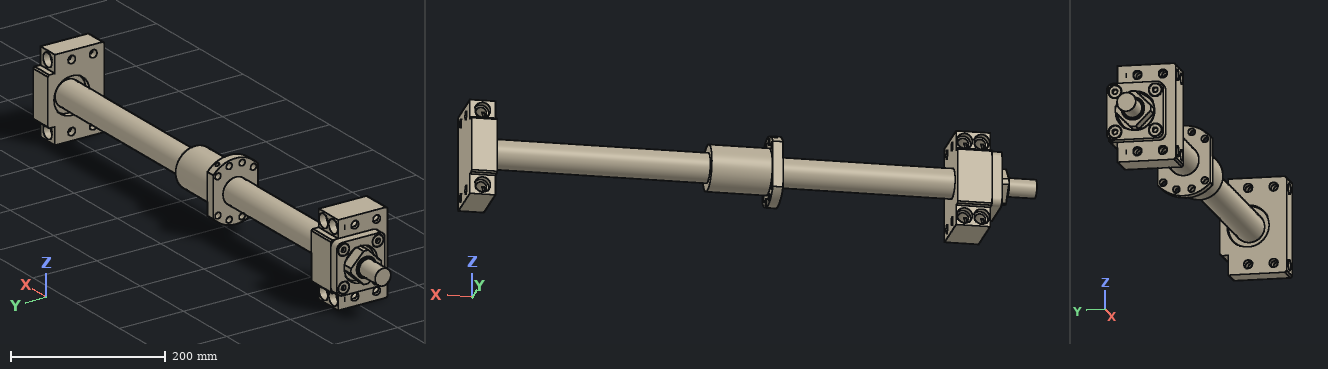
import cadquery as cq
import math

total_length = 753.0
journal_start = 37.0
locknut_start = 39.0
retainer_start = 51.0
fixed_housing_start = 65.0
fixed_housing_length = 45.0
floating_housing_length = 34.0
floating_housing_start = total_length - floating_housing_length
ball_nut_start = 340.0
ball_nut_length = 93.0

end_dia = 25.0
journal_dia = 30.0
journal_chamfer = 1.5
rod_dia = 40.0

flange_dia = 93.0
flange_thickness = 13.5
flange_across_flats = 70.0
barrel_dia = 62.0
flange_hole_dia = 9.0
flange_hole_circle_dia = 78.0
flange_hole_angles = [15, 45, 135, 165, 195, 225, 315, 345]
oil_hole_dia = 6.0
oil_hole_depth = 15.0
oil_hole_offset = 8.0
oil_hole_angle = 30

housing_height = 128.0
base_depth_below = 51.0
base_depth_above = 26.0
hump_size = 75.0
housing_chamfer = 2.0
hole_row_spacing = 102.0
mount_hole_dia = 14.0
mount_counterbore_dia = 20.0
mount_counterbore_depth = 11.0
mount_hole_edge_distance = 11.0
side_hole_dia = 11.0
side_hole_positions_y = [0.0, -34.0]
bearing_recess_dia = 56.0
bearing_recess_depth = 9.0

retainer_corner_radius = 9.0
retainer_bore_dia = 52.0
screw_spacing = 53.5
screw_recess_dia = 17.0
screw_head_dia = 16.5
screw_groove_depth = 2.0
socket_dia = 7.0
socket_depth = 4.5

collar_dia = 50.0
collar_start = 57.0
locknut_dia = 47.5
locknut_across_flats = 38.5


def cylinder(dia, start, end):
    """Solid cylinder on the screw axis between two X stations."""
    return cq.Workplane("YZ").workplane(offset=start).circle(dia / 2).extrude(end - start)


def box(x_range, y_range, z_size):
    """Block between two X and two Y stations, centred on Z = 0."""
    length = x_range[1] - x_range[0]
    depth = y_range[1] - y_range[0]
    block = cq.Workplane("XY").box(length, depth, z_size, centered=(False, False, True))
    return block.translate((x_range[0], y_range[0], 0))


def make_shaft():
    shaft = cylinder(end_dia, 0, journal_start)
    journal = cylinder(journal_dia, journal_start, fixed_housing_start)
    shaft = shaft.union(journal.faces("<X").chamfer(journal_chamfer))
    rod_end = floating_housing_start + bearing_recess_depth
    return shaft.union(cylinder(rod_dia, fixed_housing_start, rod_end))


def make_ball_nut():
    flange_end = ball_nut_start + flange_thickness
    flange = cylinder(flange_dia, ball_nut_start, flange_end)
    half_flats = flange_across_flats / 2
    flats = box((ball_nut_start, flange_end), (-half_flats, half_flats), flange_dia)
    nut = flange.intersect(flats)
    nut = nut.union(cylinder(barrel_dia, flange_end, ball_nut_start + ball_nut_length))

    hole_circle_radius = flange_hole_circle_dia / 2
    hole_points = [
        (hole_circle_radius * math.sin(math.radians(a)), hole_circle_radius * math.cos(math.radians(a)))
        for a in flange_hole_angles
    ]
    holes = cq.Workplane("YZ").workplane(offset=ball_nut_start).pushPoints(hole_points)
    nut = nut.cut(holes.circle(flange_hole_dia / 2).extrude(flange_thickness))

    oil_hole = cq.Workplane("XY").workplane(offset=flange_dia / 2 - oil_hole_depth)
    oil_hole = oil_hole.center(ball_nut_start + oil_hole_offset, 0)
    oil_hole = oil_hole.circle(oil_hole_dia / 2).extrude(oil_hole_depth)
    oil_hole = oil_hole.rotate((0, 0, 0), (1, 0, 0), -oil_hole_angle)
    nut = nut.cut(oil_hole)
    return nut.cut(cylinder(rod_dia, ball_nut_start, ball_nut_start + ball_nut_length))


def make_housing(start, length, mount_columns):
    """Bearing block with counterbored holes along Y and plain holes along X."""
    end = start + length
    base = box((start, end), (-base_depth_below, base_depth_above), housing_height)
    base = base.edges("|X and <Y").chamfer(housing_chamfer)
    hump = box((start, end), (0, hump_size / 2), hump_size)
    hump = hump.edges("|X and >Y").chamfer(housing_chamfer)
    housing = base.union(hump)

    mount_points = [(x, side * hole_row_spacing / 2) for x in mount_columns for side in (-1, 1)]
    mount_holes = (
        cq.Workplane("XZ", origin=(0, base_depth_above, 0))
        .pushPoints(mount_points)
        .circle(mount_hole_dia / 2)
        .extrude(base_depth_above + base_depth_below)
    )
    counterbores = (
        cq.Workplane("XZ", origin=(0, base_depth_above, 0))
        .pushPoints(mount_points)
        .circle(mount_counterbore_dia / 2)
        .extrude(mount_counterbore_depth)
    )
    side_points = [(y, side * hole_row_spacing / 2) for y in side_hole_positions_y for side in (-1, 1)]
    side_holes = (
        cq.Workplane("YZ", origin=(start, 0, 0))
        .pushPoints(side_points)
        .circle(side_hole_dia / 2)
        .extrude(length)
    )
    return housing.cut(mount_holes).cut(counterbores).cut(side_holes)


def make_fixed_housing():
    end = fixed_housing_start + fixed_housing_length
    columns = [fixed_housing_start + mount_hole_edge_distance, end - mount_hole_edge_distance]
    housing = make_housing(fixed_housing_start, fixed_housing_length, columns)
    return housing.cut(cylinder(rod_dia, fixed_housing_start, end))


def make_floating_housing():
    column = floating_housing_start + floating_housing_length / 2
    housing = make_housing(floating_housing_start, floating_housing_length, [column])
    recess_end = floating_housing_start + bearing_recess_depth
    return housing.cut(cylinder(bearing_recess_dia, floating_housing_start, recess_end))


def make_retainer():
    """Square cover plate; its flush screw heads are part of it, each inside a ring groove."""
    half = hump_size / 2
    plate = box((retainer_start, fixed_housing_start), (-half, half), hump_size)
    plate = plate.edges("|X").fillet(retainer_corner_radius)
    plate = plate.cut(cylinder(retainer_bore_dia, retainer_start, fixed_housing_start))

    face = cq.Workplane("YZ", origin=(retainer_start, 0, 0)).rarray(screw_spacing, screw_spacing, 2, 2)
    grooves = face.circle(screw_recess_dia / 2).circle(screw_head_dia / 2).extrude(screw_groove_depth)
    sockets = face.circle(socket_dia / 2).extrude(socket_depth)
    return plate.cut(grooves).cut(sockets)


def make_collar():
    collar = cylinder(collar_dia, collar_start, fixed_housing_start)
    return collar.cut(cylinder(journal_dia, collar_start, fixed_housing_start))


def make_locknut():
    """Round nut with four diagonal flats."""
    length = collar_start - locknut_start
    blank = cylinder(locknut_dia, locknut_start, collar_start)
    flats = cq.Workplane("YZ", origin=(locknut_start, 0, 0)).rect(locknut_across_flats, locknut_across_flats)
    flats = flats.extrude(length).rotate((0, 0, 0), (1, 0, 0), 45)
    return blank.intersect(flats).cut(cylinder(journal_dia, locknut_start, collar_start))


shaft = make_shaft()
ball_nut = make_ball_nut()
fixed_housing = make_fixed_housing()
floating_housing = make_floating_housing()
retainer = make_retainer()
collar = make_collar()
locknut = make_locknut()

result = cq.Compound.makeCompound([
    shaft.val(),
    ball_nut.val(),
    fixed_housing.val(),
    floating_housing.val(),
    retainer.val(),
    collar.val(),
    locknut.val(),
])